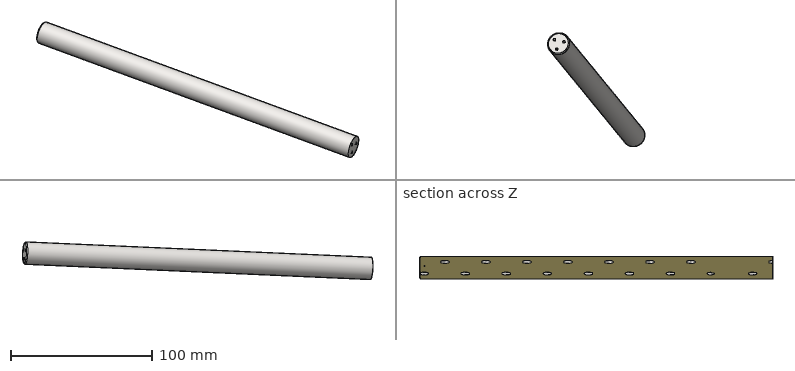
import cadquery as cq
import math

rod_length = 250.0
rod_diameter = 16.0
end_chamfer = 0.8

channel_count = 3
channel_diameter = 1.75
channel_circle_diameter = 8.3
first_channel_angle = 46.0

helix_angle = 30.0
helix_pitch = math.pi * rod_diameter / math.tan(math.radians(helix_angle))
channel_overrun = 2.0


def end_plane():
    """YZ workplane on the -X end face, its normal pointing along +X."""
    return cq.Workplane("YZ", origin=(-rod_length / 2, 0, 0))


def make_rod():
    """Solid rod with a chamfered rim at its -X end."""
    rod = end_plane().circle(rod_diameter / 2).extrude(rod_length)
    return rod.faces("<X").edges().chamfer(end_chamfer)


def make_channels():
    """Helical cutters for the coolant channels, from the -X face out past the +X face."""
    cut_length = rod_length + channel_overrun
    twist_angle = 360 * cut_length / helix_pitch
    return (
        end_plane()
        .polarArray(channel_circle_diameter / 2, first_channel_angle, 360, channel_count)
        .circle(channel_diameter / 2)
        .twistExtrude(cut_length, twist_angle)
    )


result = make_rod().cut(make_channels())